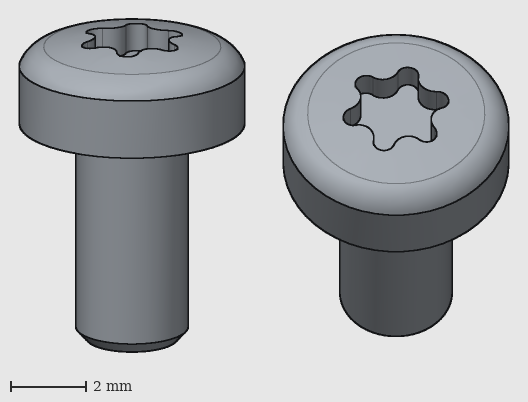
import cadquery as cq
import math

shank_radius = 1.5
shank_length = 6.0
tip_chamfer_height = 0.32
tip_chamfer_width = 0.285

total_height = 8.37
head_radius = 3.001
head_wall_height = 1.6
dome_sphere_radius = 10.04
shoulder_start_radius = 2.35

lobe_count = 6
lobe_tip_radius = 1.43
lobe_round = 0.285
valley_radius = 0.99
recess_depth = 0.81


def dome_drop(radius):
    """Fall of the dome sphere below its apex at a given distance from the axis."""
    return dome_sphere_radius - math.sqrt(dome_sphere_radius**2 - radius**2)


apex_height = total_height + dome_drop(valley_radius)


def dome_point(radius):
    return (radius, apex_height - dome_drop(radius))


def polar(radius, angle):
    return (radius * math.cos(angle), radius * math.sin(angle))


def make_body():
    """Shank and head as one revolved half profile."""
    profile = (
        cq.Workplane("XZ")
        .lineTo(shank_radius - tip_chamfer_width, 0)
        .lineTo(shank_radius, tip_chamfer_height)
        .lineTo(shank_radius, shank_length)
        .lineTo(head_radius, shank_length)
        .lineTo(head_radius, shank_length + head_wall_height)
    )
    shoulder_start = dome_point(shoulder_start_radius)
    slope = math.asin(shoulder_start_radius / dome_sphere_radius)
    normal = (math.sin(slope), math.cos(slope))
    across = head_radius - shoulder_start[0]
    down = shank_length + head_wall_height - shoulder_start[1]
    shoulder_radius = -(across**2 + down**2) / (2 * (across * normal[0] + down * normal[1]))
    centre = (
        shoulder_start[0] - shoulder_radius * normal[0],
        shoulder_start[1] - shoulder_radius * normal[1],
    )
    end_angle = math.atan2(down + shoulder_start[1] - centre[1], head_radius - centre[0])
    middle = polar(shoulder_radius, (end_angle + math.pi / 2 - slope) / 2)
    return (
        profile.threePointArc((centre[0] + middle[0], centre[1] + middle[1]), shoulder_start)
        .threePointArc(dome_point(shoulder_start_radius / 2), (0, apex_height))
        .close()
        .revolve(360, (0, 0, 0), (0, 1, 0))
    )


def make_recess():
    """Six rounded lobes joined by tangent arcs that bulge inward."""
    half_pitch = math.pi / lobe_count
    lobe_centre = lobe_tip_radius - lobe_round
    cosine = math.cos(half_pitch)
    valley_round = (
        (lobe_centre**2 + valley_radius**2 - 2 * lobe_centre * valley_radius * cosine - lobe_round**2)
        / (2 * (lobe_round - valley_radius + lobe_centre * cosine))
    )
    valley_centre = valley_radius + valley_round

    def joint(lobe_angle, valley_angle):
        """Point where a lobe arc meets a valley arc."""
        lobe = polar(lobe_centre, lobe_angle)
        valley = polar(valley_centre, valley_angle)
        share = lobe_round / (lobe_round + valley_round)
        return tuple(a + share * (b - a) for a, b in zip(lobe, valley))

    first_lobe = math.pi / 2
    outline = cq.Workplane("XY", origin=(0, 0, total_height - recess_depth))
    outline = outline.moveTo(*joint(first_lobe, first_lobe - half_pitch))
    for index in range(lobe_count):
        lobe_angle = first_lobe + 2 * half_pitch * index
        valley_angle = lobe_angle + half_pitch
        next_lobe = valley_angle + half_pitch
        outline = outline.threePointArc(polar(lobe_tip_radius, lobe_angle), joint(lobe_angle, valley_angle))
        outline = outline.threePointArc(polar(valley_radius, valley_angle), joint(next_lobe, valley_angle))
    return outline.close().extrude(apex_height - total_height + recess_depth)


result = make_body().cut(make_recess())